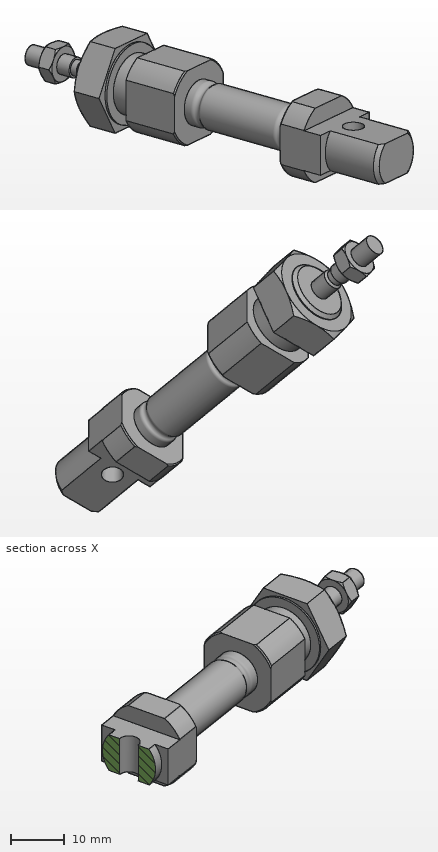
import cadquery as cq
import math

rod_diameter = 4.0
rod_nut_start = 4.5
rod_nut_length = 3.0
rod_nut_flats = 7.0
rod_groove_start = 10.4
rod_groove_end = 12.2
rod_groove_diameter = 3.2

overall_length = 86.0
thread_diameter = 12.0
housing_start = 16.0
thread_chamfer = 0.7
mount_nut_start = 16.85
mount_nut_end = 23.5
mount_nut_flats = 17.0
washer_face_length = 0.4
washer_face_diameter = 16.0

cap_width = 15.0
cap_corner_diameter = 17.0
cap_chamfer = 0.3
front_cap_start = 28.0
front_cap_end = 39.5
rear_cap_start = 64.3
rear_cap_end = 70.0

tube_diameter = 9.0
tube_groove_diameter = 8.0
tube_groove_offset = 2.75
tube_groove_arc_radius = 0.8

tongue_thickness = 8.0
shoulder_end = 73.9
tongue_chamfer = 0.8
pivot_hole_diameter = 4.1
pivot_hole_x = 75.85

nut_chamfer_angle = 30.0


def cylinder(start, end, diameter):
    """Round bar along X."""
    return cq.Workplane("YZ").workplane(offset=start).circle(diameter / 2).extrude(end - start)


def revolve_profile(points):
    """Turn a closed (x, radius) outline around the X axis."""
    return cq.Workplane("XY").polyline(points).close().revolve(360, (0, 0, 0), (1, 0, 0))


def hex_nut(start, end, flats, both_ends):
    """Solid hexagon along X, corners on +-Y, with conical corner chamfers."""
    corners = flats / math.cos(math.pi / 6)
    prism = cq.Workplane("YZ").workplane(offset=start).polygon(6, corners).extrude(end - start)
    face_radius = flats / 2
    corner_radius = corners / 2
    cone_length = (corner_radius - face_radius) * math.tan(math.radians(nut_chamfer_angle))
    outline = [(start, 0), (start, face_radius), (start + cone_length, corner_radius)]
    if both_ends:
        outline += [(end - cone_length, corner_radius), (end, face_radius)]
    else:
        outline += [(end, corner_radius)]
    outline += [(end, 0)]
    return prism.intersect(revolve_profile(outline))


def cap(start, end, chamfered_end=None):
    """Square block with its corners turned round, and with a turned chamfer on the end named."""
    block = cq.Workplane("YZ").workplane(offset=start).rect(cap_width, cap_width).extrude(end - start)
    turned = cylinder(start, end, cap_corner_diameter)
    if chamfered_end:
        turned = turned.faces(chamfered_end).chamfer(cap_chamfer)
    return block.intersect(turned)


def tube_groove(middle):
    """Ring to remove for one rolled groove: a round floor that runs tangent into rounded shoulders."""
    radius = tube_groove_arc_radius
    outer = tube_diameter / 2
    floor = tube_groove_diameter / 2
    depth = outer - floor
    turn = math.acos(1 - depth / (2 * radius))
    half_length = 2 * radius * math.sin(turn)
    bend = half_length / 2
    bend_height = outer - depth / 2
    crest = half_length - radius * math.sin(turn / 2)
    crest_height = outer - radius * (1 - math.cos(turn / 2))
    outline = (
        cq.Workplane("XY")
        .moveTo(middle - half_length, outer)
        .threePointArc((middle - crest, crest_height), (middle - bend, bend_height))
        .threePointArc((middle, floor), (middle + bend, bend_height))
        .threePointArc((middle + crest, crest_height), (middle + half_length, outer))
        .close()
    )
    return outline.revolve(360, (0, 0, 0), (1, 0, 0))


def make_rod():
    """Piston rod with its lock nut; it ends flush against the housing."""
    rod_radius = rod_diameter / 2
    groove_radius = rod_groove_diameter / 2
    cone_length = rod_radius - groove_radius
    rod = revolve_profile([
        (0, 0),
        (0, rod_radius),
        (rod_groove_start, rod_radius),
        (rod_groove_start, groove_radius),
        (rod_groove_end - cone_length, groove_radius),
        (rod_groove_end, rod_radius),
        (housing_start, rod_radius),
        (housing_start, 0),
    ])
    nut_end = rod_nut_start + rod_nut_length
    return rod.union(hex_nut(rod_nut_start, nut_end, rod_nut_flats, both_ends=True))


def make_tongue():
    """Flat rear tongue: a full-width shoulder, then a chamfered round end, with a pivot hole."""
    shoulder = cap(rear_cap_end, shoulder_end)
    round_end = cylinder(shoulder_end, overall_length, thread_diameter)
    round_end = round_end.faces(">X").chamfer(tongue_chamfer)
    length = overall_length - rear_cap_end
    slab = cq.Workplane("XY").box(length, cap_width, tongue_thickness, centered=(False, True, True))
    tongue = shoulder.union(round_end).intersect(slab.translate((rear_cap_end, 0, 0)))
    hole = cq.Workplane("XY").center(pivot_hole_x, 0).circle(pivot_hole_diameter / 2)
    return tongue.cut(hole.extrude(tongue_thickness, both=True))


def make_housing():
    """Cylinder housing with its threaded neck, mounting nut, caps, tube and rear tongue."""
    neck = cylinder(housing_start, front_cap_start, thread_diameter)
    neck = neck.faces("<X").chamfer(thread_chamfer)
    washer_face = cylinder(mount_nut_end, mount_nut_end + washer_face_length, washer_face_diameter)
    tube = cylinder(front_cap_end, rear_cap_start, tube_diameter)
    for middle in (front_cap_end + tube_groove_offset, rear_cap_start - tube_groove_offset):
        tube = tube.cut(tube_groove(middle))

    housing = neck.union(hex_nut(mount_nut_start, mount_nut_end, mount_nut_flats, both_ends=False))
    housing = housing.union(washer_face)
    housing = housing.union(cap(front_cap_start, front_cap_end, chamfered_end=">X"))
    housing = housing.union(tube)
    housing = housing.union(cap(rear_cap_start, rear_cap_end, chamfered_end="<X"))
    return housing.union(make_tongue())


rod = make_rod()
housing = make_housing()
result = cq.Compound.makeCompound([rod.val(), housing.val()])